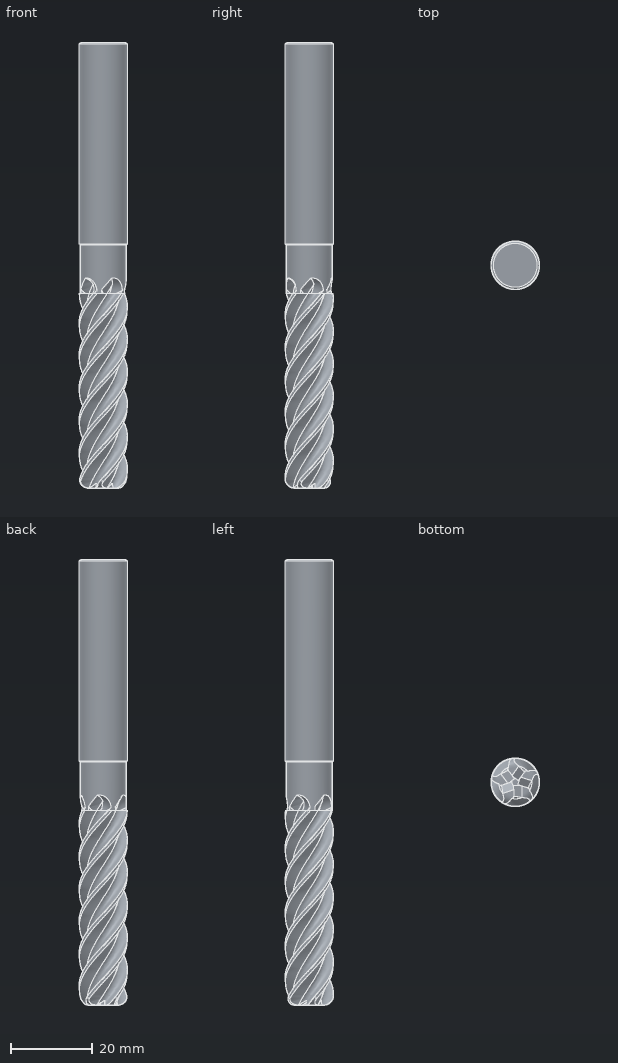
import cadquery as cq
import math


TOTAL_LENGTH = 110.0
TOOL_RADIUS = 6.0
HEAD_LENGTH = 48.0
NECK_TOP = 60.0
NECK_RADIUS = 5.7
SHOULDER_HEIGHT = TOOL_RADIUS - NECK_RADIUS
SHANK_CHAMFER_RADIAL = 0.6
SHANK_CHAMFER_HEIGHT = 0.4

FLUTE_COUNT = 5
FLUTE_PITCH_ANGLE = 360.0 / FLUTE_COUNT
HELIX_LEAD = 40.0
FIRST_EDGE_ANGLE = 29.0
CORE_RADIUS = 3.5

LAND_END_RADIUS = 5.9
LAND_END_ANGLE = 10.0
HEEL_RADIUS = 4.1
HEEL_ANGLE = 38.0
FLUTE_BOTTOM_ANGLE = 51.0

RUNOUT_HEIGHT = 4.1
RUNOUT_BALL_RADIUS = 3.5
RUNOUT_BALL_CENTRE_RADIUS = CORE_RADIUS + RUNOUT_BALL_RADIUS
RUNOUT_BALL_HEIGHT = HEAD_LENGTH + RUNOUT_HEIGHT - RUNOUT_BALL_RADIUS
RUNOUT_BALL_ANGLE = 51.0

CORNER_RADIUS = 2.4
GASH_SLOPE_WIDTH = 1.6
GASH_WALL_OFFSET = 0.4
GASH_DEPTH = 1.2
GASH_INNER_RADIUS = 0.8
GASH_ANGLE = 60.0


def polar(radius, angle):
    """Return the XY point at a radius and an angle in degrees."""
    return (radius * math.cos(math.radians(angle)), radius * math.sin(math.radians(angle)))


def twist_angle(height):
    """Return how far the flutes turn, in degrees, over a height."""
    return 360.0 * height / HELIX_LEAD


def toothed_bar(start_height, end_height):
    """Return a twisted bar with the toothed cross-section between two heights."""
    length = end_height - start_height
    start_angle = FIRST_EDGE_ANGLE + twist_angle(start_height)
    outline = cq.Workplane("XY").moveTo(*polar(TOOL_RADIUS, start_angle))
    for tooth in range(FLUTE_COUNT):
        edge = start_angle + tooth * FLUTE_PITCH_ANGLE
        outline = (
            outline.lineTo(*polar(LAND_END_RADIUS, edge + LAND_END_ANGLE))
            .lineTo(*polar(HEEL_RADIUS, edge + HEEL_ANGLE))
            .threePointArc(
                polar(CORE_RADIUS, edge + FLUTE_BOTTOM_ANGLE),
                polar(TOOL_RADIUS, edge + FLUTE_PITCH_ANGLE),
            )
        )
    bar = outline.close().twistExtrude(length, twist_angle(length))
    return bar.translate((0, 0, start_height))


def corner_envelope():
    """Return the round-cornered disc that bounds the tip of the cutting head."""
    corner_centre_radius = TOOL_RADIUS - CORNER_RADIUS
    corner_middle = CORNER_RADIUS * math.sqrt(0.5)
    return (
        cq.Workplane("XZ")
        .lineTo(corner_centre_radius, 0)
        .threePointArc(
            (corner_centre_radius + corner_middle, CORNER_RADIUS - corner_middle),
            (TOOL_RADIUS, CORNER_RADIUS),
        )
        .lineTo(0, CORNER_RADIUS)
        .close()
        .revolve(360, (0, 0), (0, 1))
    )


def tip_gash(flute):
    """Return the wedge-shaped notch that opens one flute across the end face."""
    angle = FIRST_EDGE_ANGLE + GASH_ANGLE + flute * FLUTE_PITCH_ANGLE
    notch = (
        cq.Workplane("YZ")
        .polyline([(-GASH_SLOPE_WIDTH, 0), (GASH_WALL_OFFSET, 0), (GASH_WALL_OFFSET, GASH_DEPTH)])
        .close()
        .extrude(TOOL_RADIUS)
    )
    return notch.translate((GASH_INNER_RADIUS, 0, 0)).rotate((0, 0, 0), (0, 0, 1), angle)


def make_cutting_head():
    """Return the fluted head, with its tip trimmed and gashed."""
    tip = toothed_bar(0, CORNER_RADIUS).intersect(corner_envelope())
    for flute in range(FLUTE_COUNT):
        tip = tip.cut(tip_gash(flute))
    return toothed_bar(CORNER_RADIUS, HEAD_LENGTH).union(tip)


def make_shank():
    """Return the shank and its reduced neck, with the flutes running out into the neck."""
    shank = (
        cq.Workplane("XZ")
        .moveTo(0, HEAD_LENGTH)
        .lineTo(NECK_RADIUS, HEAD_LENGTH)
        .lineTo(NECK_RADIUS, NECK_TOP)
        .lineTo(TOOL_RADIUS, NECK_TOP + SHOULDER_HEIGHT)
        .lineTo(TOOL_RADIUS, TOTAL_LENGTH - SHANK_CHAMFER_HEIGHT)
        .lineTo(TOOL_RADIUS - SHANK_CHAMFER_RADIAL, TOTAL_LENGTH)
        .lineTo(0, TOTAL_LENGTH)
        .close()
        .revolve(360, (0, 0), (0, 1))
    )
    teeth = toothed_bar(HEAD_LENGTH, HEAD_LENGTH + RUNOUT_HEIGHT)
    first_ball_angle = FIRST_EDGE_ANGLE + twist_angle(HEAD_LENGTH) + RUNOUT_BALL_ANGLE
    for flute in range(FLUTE_COUNT):
        angle = first_ball_angle + flute * FLUTE_PITCH_ANGLE
        x, y = polar(RUNOUT_BALL_CENTRE_RADIUS, angle)
        ball = cq.Workplane("XY").sphere(RUNOUT_BALL_RADIUS).translate((x, y, RUNOUT_BALL_HEIGHT))
        shank = shank.cut(ball.cut(teeth))
    return shank


cutting_head = make_cutting_head()
shank = make_shank()

result = cq.Compound.makeCompound([cutting_head.solids().val(), shank.solids().val()])